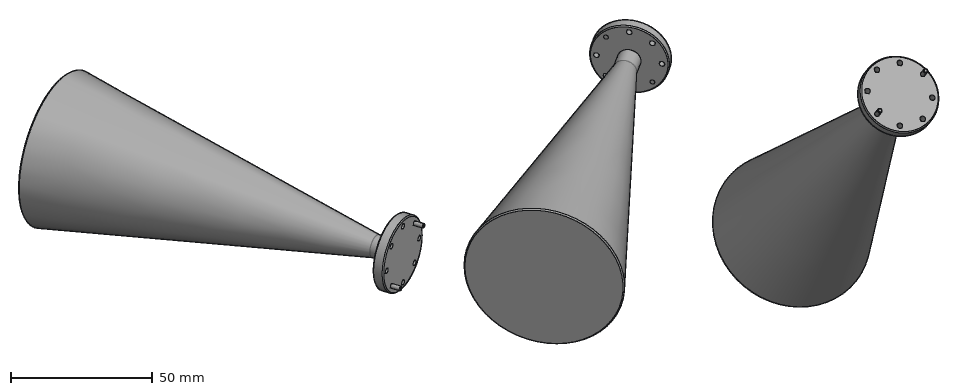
import cadquery as cq
import math

total_length = 143.5
cone_end = 128.6
flange_start = 135.4
flange_thickness = 4.3
flange_end = flange_start + flange_thickness

mouth_radius = 29.3
neck_radius = 4.3
mouth_chamfer = 0.6

flange_radius = 14.5
flange_chamfer = 0.5

ring_radius = 11.9
ring_count = 8
pin_positions = (1, 5)
hole_diameter = 2.0
pin_diameter = 1.7
pin_chamfer = 0.3


def ring_point(position):
    """Return (y, z) of one ring position, counted from +Y toward +Z."""
    angle = math.radians(position * 360 / ring_count)
    return ring_radius * math.cos(angle), ring_radius * math.sin(angle)


def cylinder_along_x(x_start, x_end, diameter, center=(0, 0)):
    """Return a cylinder parallel to X, centred at (y, z)."""
    return (
        cq.Workplane("YZ", origin=(x_start, 0, 0))
        .center(*center)
        .circle(diameter / 2)
        .extrude(x_end - x_start)
    )


def make_horn():
    """Solid cone and neck with an end flange, drilled at every ring position."""
    cone = (
        cq.Workplane("XY")
        .polyline([(0, 0), (0, mouth_radius), (cone_end, neck_radius), (cone_end, 0)])
        .close()
        .revolve(360, (0, 0, 0), (1, 0, 0))
        .faces("<X")
        .chamfer(mouth_chamfer)
    )
    neck = cylinder_along_x(cone_end, flange_start, 2 * neck_radius)
    flange = cylinder_along_x(flange_start, flange_end, 2 * flange_radius).edges().chamfer(flange_chamfer)
    body = cone.union(neck).union(flange)
    for position in range(ring_count):
        diameter = pin_diameter if position in pin_positions else hole_diameter
        body = body.cut(cylinder_along_x(flange_start, flange_end, diameter, ring_point(position)))
    return body


def make_pin(position):
    """Dowel pin through the flange, chamfered at its free end."""
    pin = cylinder_along_x(flange_start, total_length, pin_diameter, ring_point(position))
    return pin.faces(">X").chamfer(pin_chamfer)


horn = make_horn()
pins = [make_pin(position) for position in pin_positions]

result = cq.Compound.makeCompound([horn.val(), *[pin.val() for pin in pins]])